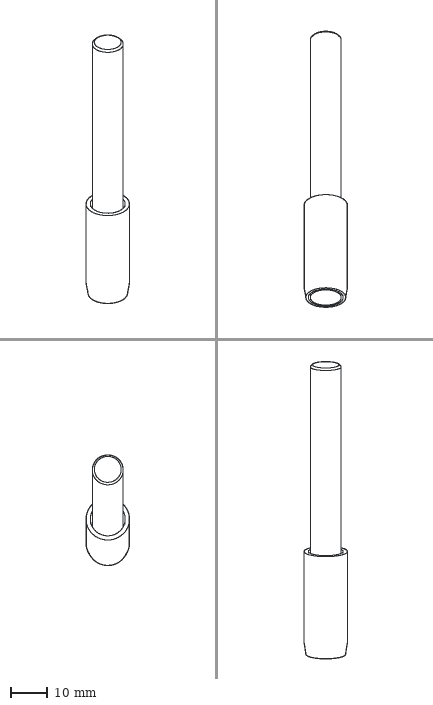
import cadquery as cq

total_length = 82.0
pin_diameter = 8.5
pin_chamfer = 0.6
sleeve_diameter = 12.0
sleeve_bore = 9.6
sleeve_length = 29.1
nose_length = 3.2
nose_end_diameter = 11.0


def make_pin():
    """Plain round pin, chamfered at its upper end."""
    return cq.Workplane("XY").circle(pin_diameter / 2).extrude(total_length).faces(">Z").chamfer(pin_chamfer)


def make_sleeve():
    """Straight-bored sleeve with a conical lower nose."""
    bore_radius = sleeve_bore / 2
    outer_radius = sleeve_diameter / 2
    nose_radius = nose_end_diameter / 2
    return (
        cq.Workplane("XZ")
        .moveTo(bore_radius, 0)
        .lineTo(nose_radius, 0)
        .lineTo(outer_radius, nose_length)
        .lineTo(outer_radius, sleeve_length)
        .lineTo(bore_radius, sleeve_length)
        .close()
        .revolve(360, (0, 0), (0, 1))
    )


pin = make_pin()
sleeve = make_sleeve()

result = cq.Compound.makeCompound([pin.val(), sleeve.val()])